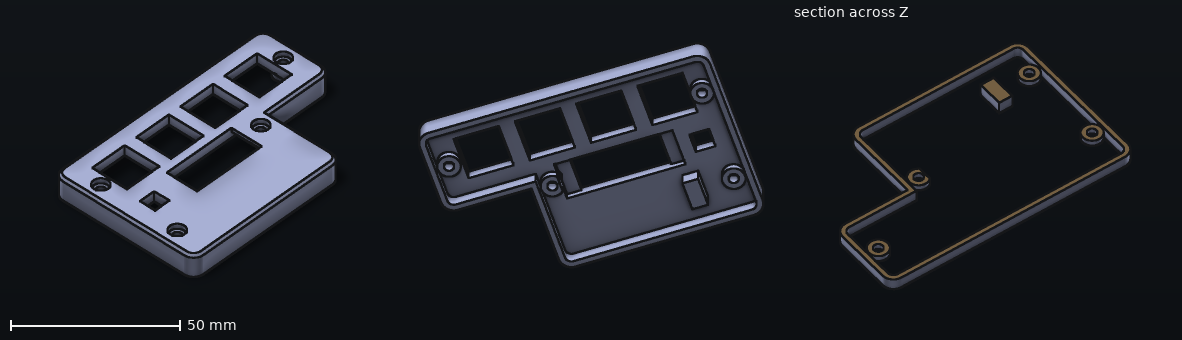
import cadquery as cq

LENGTH_X = 57.02
LENGTH_Y = 90.3
BODY_HEIGHT = 8.5
ARM_WIDTH = 27.7
ARM_LENGTH = 26.8
CORNER_RADIUS = 4.0
EDGE_CHAMFER = 1.0
PLATE_THICKNESS = 4.0
WALL_THICKNESS = 2.0

LEFT = -LENGTH_X / 2
RIGHT = LENGTH_X / 2
FRONT = -LENGTH_Y / 2
BACK = LENGTH_Y / 2
ARM_RIGHT = LEFT + ARM_WIDTH
SHOULDER_Y = BACK - ARM_LENGTH
CAVITY_HEIGHT = BODY_HEIGHT - PLATE_THICKNESS

KEY_SIZE = 14.0
KEY_PITCH = 19.05
KEY_COUNT = 4
KEY_X = -14.65

DISPLAY_X = 2.0
DISPLAY_Y = -8.2
DISPLAY_WIDTH = 12.2
DISPLAY_LENGTH = 27.8
DISPLAY_LIP = 1.5
RECESS_LENGTH = 36.8
SMALL_OPENING_SIZE = 6.1
SMALL_OPENING_Y = -33.9

POST_DIAMETER = 7.0
SCREW_DIAMETER = 3.0
HEAD_DIAMETER = 5.7
HEAD_DEPTH = 2.0
POST_BOTTOM = 2.0
ARM_SCREW_Y = 39.35
CENTER_SCREW_X = 1.4
CENTER_SCREW_Y = 12.55
CORNER_SCREW_X = 15.9
CORNER_SCREW_Y = -39.0
SCREW_POINTS = [
    (KEY_X, ARM_SCREW_Y),
    (KEY_X, -ARM_SCREW_Y),
    (CENTER_SCREW_X, CENTER_SCREW_Y),
    (CORNER_SCREW_X, CORNER_SCREW_Y),
]

BLOCK_X = 16.0
BLOCK_Y = -27.0
BLOCK_WIDTH = 9.3
BLOCK_DEPTH = 4.9
BLOCK_PROUD = 0.35


def l_prism(inset, height):
    """L-shaped prism standing on Z = 0, inset from the outer outline, its outer corners rounded."""
    left = LEFT + inset
    right = RIGHT - inset
    front = FRONT + inset
    back = BACK - inset
    arm_right = ARM_RIGHT - inset
    shoulder = SHOULDER_Y - inset
    radius = CORNER_RADIUS - inset
    return (
        cq.Workplane("XY")
        .moveTo(left + radius, front)
        .lineTo(right - radius, front)
        .radiusArc((right, front + radius), -radius)
        .lineTo(right, shoulder - radius)
        .radiusArc((right - radius, shoulder), -radius)
        .lineTo(arm_right, shoulder)
        .lineTo(arm_right, back - radius)
        .radiusArc((arm_right - radius, back), -radius)
        .lineTo(left + radius, back)
        .radiusArc((left, back - radius), -radius)
        .lineTo(left, front + radius)
        .radiusArc((left + radius, front), -radius)
        .close()
        .extrude(height)
    )


def upright_box(x, y, width, depth, bottom, top):
    """Box centred on (x, y) that runs from Z = bottom to Z = top."""
    return (
        cq.Workplane("XY", origin=(x, y, bottom))
        .rect(width, depth)
        .extrude(top - bottom)
    )


def cover_shell():
    """Chamfered L-shaped cover, hollowed from below."""
    body = l_prism(0, BODY_HEIGHT).faces(">Z").chamfer(EDGE_CHAMFER)
    return body.cut(l_prism(WALL_THICKNESS, CAVITY_HEIGHT))


def screw_posts():
    """Round posts hanging from the plate, ending above the underside."""
    return (
        cq.Workplane("XY", origin=(0, 0, POST_BOTTOM))
        .pushPoints(SCREW_POINTS)
        .circle(POST_DIAMETER / 2)
        .extrude(BODY_HEIGHT - HEAD_DEPTH - POST_BOTTOM)
    )


def support_block():
    """Block hanging from the plate and standing proud of the underside."""
    return upright_box(BLOCK_X, BLOCK_Y, BLOCK_WIDTH, BLOCK_DEPTH, -BLOCK_PROUD, CAVITY_HEIGHT)


def key_openings():
    """Square openings in one column, centred on the length of the cover."""
    openings = cq.Workplane("XY")
    for index in range(KEY_COUNT):
        y = (index - (KEY_COUNT - 1) / 2) * KEY_PITCH
        openings = openings.add(upright_box(KEY_X, y, KEY_SIZE, KEY_SIZE, CAVITY_HEIGHT, BODY_HEIGHT))
    return openings.combine()


def display_opening():
    """Display window with a longer recess behind its thin lip."""
    window = upright_box(DISPLAY_X, DISPLAY_Y, DISPLAY_WIDTH, DISPLAY_LENGTH, 0, BODY_HEIGHT)
    recess_top = BODY_HEIGHT - DISPLAY_LIP
    recess = upright_box(DISPLAY_X, DISPLAY_Y, DISPLAY_WIDTH, RECESS_LENGTH, 0, recess_top)
    return window.union(recess)


def small_opening():
    """Small square opening in line with the display."""
    return upright_box(DISPLAY_X, SMALL_OPENING_Y, SMALL_OPENING_SIZE, SMALL_OPENING_SIZE, 0, BODY_HEIGHT)


def screw_holes():
    """Through holes with counterbores for the screw heads."""
    points = cq.Workplane("XY").pushPoints(SCREW_POINTS)
    shafts = points.circle(SCREW_DIAMETER / 2).extrude(BODY_HEIGHT)
    heads = (
        cq.Workplane("XY", origin=(0, 0, BODY_HEIGHT - HEAD_DEPTH))
        .pushPoints(SCREW_POINTS)
        .circle(HEAD_DIAMETER / 2)
        .extrude(HEAD_DEPTH)
    )
    return shafts.union(heads)


result = (
    cover_shell()
    .union(screw_posts())
    .union(support_block())
    .cut(key_openings())
    .cut(display_opening())
    .cut(small_opening())
    .cut(screw_holes())
)